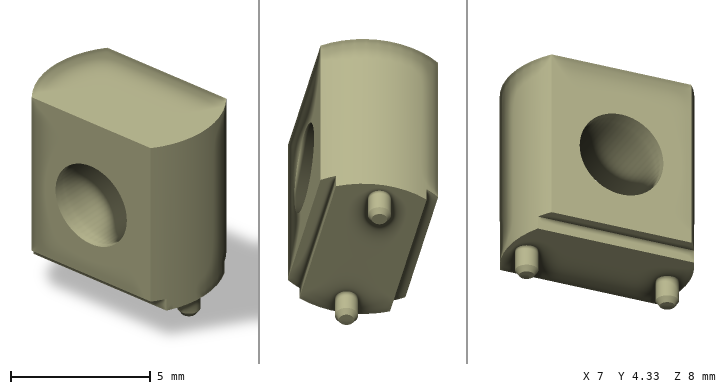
import cadquery as cq

body_diameter = 7.0
body_height = 7.0
body_depth = 4.33
bore_diameter = 3.3

shoulder_size = 0.5

total_height = 8.0
pin_diameter = 0.84
pin_spacing = 5.54
pin_chamfer_height = 0.2
pin_chamfer_width = 0.14

pin_length = total_height - body_height
foot_depth = body_depth - 2 * shoulder_size


def flatted_bar(depth, height):
    """Upright round bar, standing on Z = 0, trimmed to a depth along Y."""
    bar = cq.Workplane("XY").circle(body_diameter / 2).extrude(height)
    slab = cq.Workplane("XY").box(body_diameter, depth, height, centered=(True, True, False))
    return bar.intersect(slab)


def pin(x):
    """Pin hanging below the body, with a tapered tip."""
    shank = cq.Workplane("XY").center(x, 0).circle(pin_diameter / 2).extrude(-pin_length)
    return shank.faces("<Z").chamfer(pin_chamfer_height, pin_chamfer_width)


foot = flatted_bar(foot_depth, shoulder_size)
upper_body = flatted_bar(body_depth, body_height - shoulder_size).translate((0, 0, shoulder_size))
body = foot.union(upper_body)

bore = (
    cq.Workplane("XZ", origin=(0, body_depth / 2, 0))
    .center(0, body_height / 2)
    .circle(bore_diameter / 2)
    .extrude(body_depth)
)
result = body.cut(bore)

for side in (-1, 1):
    result = result.union(pin(side * pin_spacing / 2))